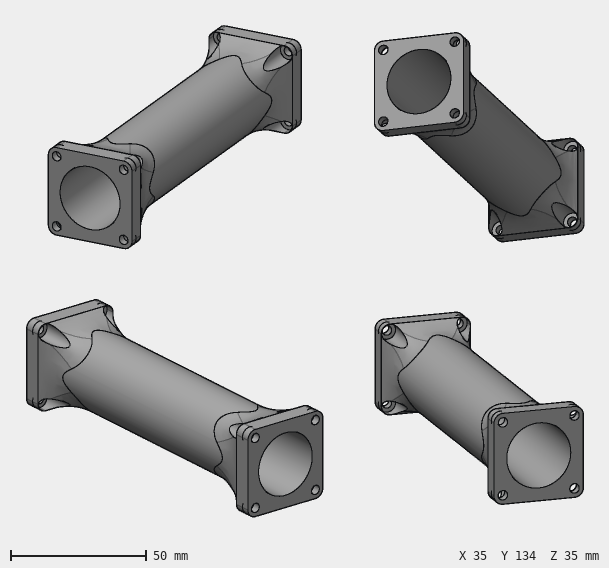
import cadquery as cq
import math

length = 134.0
flange_side = 35.0
flange_thickness = 7.0
corner_radius = 3.5
tube_diameter = 30.0
bore_diameter = 25.0
screw_hole_diameter = 3.6
pocket_diameter = 6.7
pocket_depth = flange_thickness / 2
blend_radius = 30.0
blend_step = 0.03
blend_core_radius = 10.0
blend_bite = 2.7
edge_inset = 0.07
section_steps = 6

tube_radius = tube_diameter / 2
half_side = flange_side / 2
corner_center = half_side - corner_radius
blend_half_side = half_side - edge_inset
blend_corner_radius = corner_radius - edge_inset
flange_back = length / 2 - flange_thickness
contact_radius = tube_radius + blend_step
ball_path_radius = contact_radius + blend_radius


def cylinder(radius, start, depth):
    """Cylinder along +Y about the tube axis."""
    return cq.Workplane("XZ", origin=(0, start, 0)).circle(radius).extrude(-depth)


def corner_cylinders(diameter, start, depth):
    """Four cylinders along +Y on the centres of the flange corner arcs."""
    spacing = 2 * corner_center
    centers = cq.Workplane("XZ", origin=(0, start, 0)).rect(spacing, spacing, forConstruction=True)
    return centers.vertices().circle(diameter / 2).extrude(-depth)


def blend_section(edge_x, edge_z, ball_x, ball_z):
    """Closed section of the blend for one position of the rolling ball.

    Its arc runs from the contact with the tube to the contact with the flange edge.
    """
    ball_offset = math.hypot(ball_x - edge_x, ball_z - edge_z)
    ball_y = flange_back - math.sqrt(blend_radius**2 - ball_offset**2)
    radial = cq.Vector(ball_x, 0, ball_z).normalized()
    axis_point = cq.Vector(0, ball_y, 0)
    ball = cq.Vector(ball_x, ball_y, ball_z)
    edge_contact = cq.Vector(edge_x, flange_back, edge_z)
    tube_contact = axis_point + radial * contact_radius
    arc_direction = ((edge_contact - ball).normalized() - radial).normalized()
    arc_middle = ball + arc_direction * blend_radius
    tube_inner = axis_point + radial * blend_core_radius
    flange_inner = radial * blend_core_radius + cq.Vector(0, flange_back + blend_bite, 0)
    return cq.Wire.assembleEdges([
        cq.Edge.makeThreePointArc(tube_contact, arc_middle, edge_contact),
        cq.Edge.makeLine(edge_contact, flange_inner),
        cq.Edge.makeLine(flange_inner, tube_inner),
        cq.Edge.makeLine(tube_inner, tube_contact),
    ])


def side_section(x):
    """Section where the ball touches the straight +Z edge at x."""
    return blend_section(x, blend_half_side, x, math.sqrt(ball_path_radius**2 - x**2))


def corner_section(angle):
    """Section where the ball touches the +X +Z corner arc, at an angle from +Z."""
    x_direction = math.sin(angle)
    z_direction = math.cos(angle)
    along = corner_center * (x_direction + z_direction)
    reach = math.sqrt(along**2 + ball_path_radius**2 - 2 * corner_center**2) - along
    return blend_section(
        corner_center + blend_corner_radius * x_direction,
        corner_center + blend_corner_radius * z_direction,
        corner_center + reach * x_direction,
        corner_center + reach * z_direction,
    )


def flange():
    """Square flange at the +Y end with rounded corners."""
    plate = cq.Workplane("XZ", origin=(0, flange_back, 0)).rect(flange_side, flange_side)
    return plate.extrude(-flange_thickness).edges("|Y").fillet(corner_radius)


def blend():
    """Ring that blends flange into tube."""
    fractions = [step / section_steps for step in range(section_steps + 1)]
    side_sections = [side_section(corner_center * (2 * fraction - 1)) for fraction in fractions]
    side = cq.occ_impl.shapes.loft(*side_sections)
    corner_sections = [corner_section(math.pi / 2 * fraction) for fraction in fractions]
    corner = cq.occ_impl.shapes.loft(*corner_sections)
    faces = []
    for turn in range(4):
        for face in side.Faces() + corner.Faces():
            faces.append(face.rotate((0, 0, 0), (0, 1, 0), 90 * turn))
    return cq.Workplane(cq.Solid.makeSolid(cq.Shell.makeShell(faces)))


tube_half_length = flange_back + flange_thickness / 2
tube = cylinder(tube_radius, -tube_half_length, 2 * tube_half_length)
screw_pockets = corner_cylinders(pocket_diameter, 0, flange_back + pocket_depth)
end = blend().union(flange(), clean=False).cut(screw_pockets, clean=False)
result = tube.union(end, clean=False).union(end.mirror("XZ"), clean=False)
result = result.cut(cylinder(bore_diameter / 2, -length / 2, length), clean=False)
result = result.cut(corner_cylinders(screw_hole_diameter, -length / 2, length), clean=False)